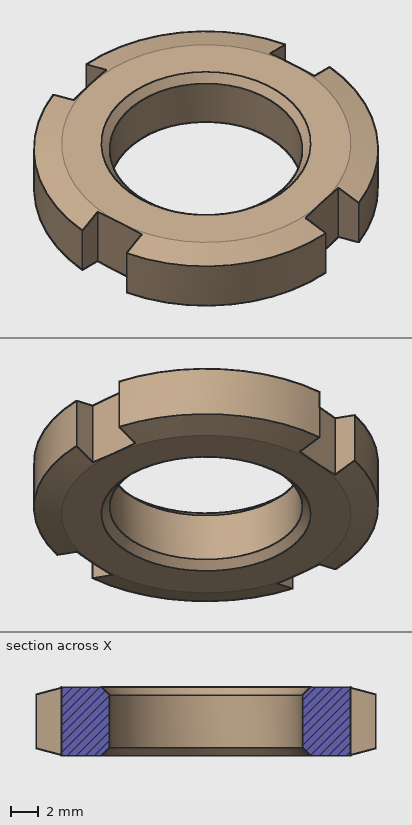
import cadquery as cq
import math

outer_diameter = 25.0
face_diameter = 21.0
height = 5.0
bevel_angle = 15.0

bore_diameter = 14.0
bore_mouth_diameter = 15.2
bore_chamfer_angle = 45.0

slot_count = 4
slot_width = 4.0
slot_floor_distance = face_diameter / 2

outer_radius = outer_diameter / 2
face_radius = face_diameter / 2
bore_radius = bore_diameter / 2
bore_mouth_radius = bore_mouth_diameter / 2
bevel_height = (outer_radius - face_radius) * math.tan(math.radians(bevel_angle))
bore_chamfer_depth = (bore_mouth_radius - bore_radius) / math.tan(math.radians(bore_chamfer_angle))


def make_ring():
    """Revolve the ring section, with bevelled rim and chamfered bore at both faces."""
    section = (
        cq.Workplane("XZ")
        .moveTo(bore_mouth_radius, 0)
        .lineTo(face_radius, 0)
        .lineTo(outer_radius, bevel_height)
        .lineTo(outer_radius, height - bevel_height)
        .lineTo(face_radius, height)
        .lineTo(bore_mouth_radius, height)
        .lineTo(bore_radius, height - bore_chamfer_depth)
        .lineTo(bore_radius, bore_chamfer_depth)
        .close()
    )
    return section.revolve(360, (0, 0, 0), (0, 1, 0))


def make_slot(angle):
    """Full-height spanner slot cutter, open outwards, turned to the given angle."""
    slot_length = outer_radius
    cutter = cq.Workplane("XY").box(slot_length, slot_width, height, centered=(False, True, False))
    return cutter.translate((slot_floor_distance, 0, 0)).rotate((0, 0, 0), (0, 0, 1), angle)


result = make_ring()
for index in range(slot_count):
    result = result.cut(make_slot(index * 360 / slot_count))